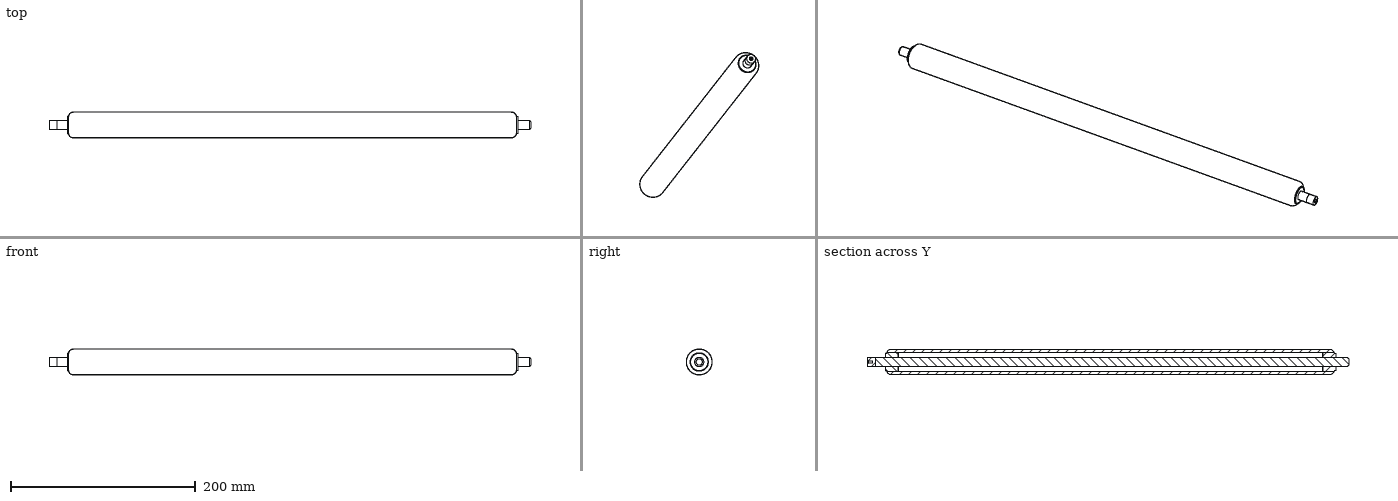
import cadquery as cq

length = 522.0
tube_diameter = 28.0
rolled_edge_radius = 6.0
bearing_diameter = 20.0
bearing_width = 13.0
boss_diameter = 19.0
shaft_diameter = 10.0
shaft_chamfer = 1.5
tip_length = 8.5
center_hole_mouth = 4.0
center_hole_diameter = 2.0
center_hole_depth = 5.0
left_tube_inset = 20.5
right_tube_inset = 15.5
left_boss_height = 1.0
right_boss_height = 1.5

left_end = -length / 2
right_end = length / 2
tip_joint = left_end + tip_length
tube_left = left_end + left_tube_inset
tube_right = right_end - right_tube_inset


def cylinder(diameter, start, end):
    """Solid cylinder on the X axis between two stations."""
    return cq.Workplane("YZ", origin=(start, 0, 0)).circle(diameter / 2).extrude(end - start)


def make_tube():
    """Roller tube with rolled-in ends, bored for the bearings."""
    body = cylinder(tube_diameter, tube_left, tube_right).edges().fillet(rolled_edge_radius)
    return body.cut(cylinder(bearing_diameter, tube_left, tube_right))


def make_bearing(tube_face, boss_height, outward):
    """Bearing flush with a tube end, with a round boss standing out of its face.

    The outward argument is -1 at the left end and 1 at the right end.
    """
    inner_face = tube_face - outward * bearing_width
    boss_face = tube_face + outward * boss_height
    ring = cylinder(bearing_diameter, inner_face, tube_face)
    boss = cylinder(boss_diameter, tube_face, boss_face)
    return ring.union(boss).cut(cylinder(shaft_diameter, inner_face, boss_face))


def make_shaft():
    """Plain shaft with a chamfered right end."""
    return cylinder(shaft_diameter, tip_joint, right_end).faces(">X").chamfer(shaft_chamfer)


def make_tip():
    """Left shaft tip with a countersunk center hole in its end face."""
    body = cylinder(shaft_diameter, left_end, tip_joint)
    hole = cylinder(center_hole_diameter, left_end, left_end + center_hole_depth)
    mouth_radius = center_hole_mouth / 2
    axis_direction = cq.Vector(1, 0, 0)
    countersink = cq.Solid.makeCone(mouth_radius, 0, mouth_radius, cq.Vector(left_end, 0, 0), axis_direction)
    return body.cut(hole).cut(countersink)


tube = make_tube()
shaft = make_shaft()
tip = make_tip()
bearings = [
    make_bearing(face, boss_height, outward)
    for face, boss_height, outward in (
        (tube_left, left_boss_height, -1),
        (tube_right, right_boss_height, 1),
    )
]

result = cq.Compound.makeCompound(
    [tube.val(), shaft.val(), tip.val(), *[bearing.val() for bearing in bearings]]
)